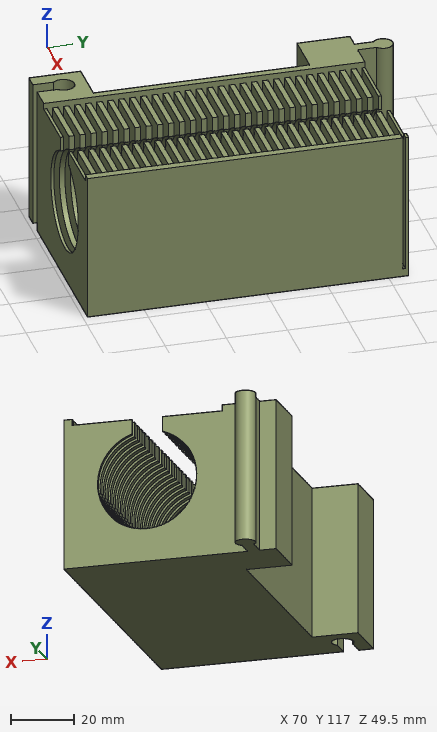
import cadquery as cq

length_x = 70.0
height = 49.5
body_length = 105.0
total_length = 117.0

block_projection = 15.1
front_block_length = 17.0
rear_block_length = 17.3

wall = 2.7
fin_zone_left = 17.8
fin_zone_right = length_x - wall
fin_zone_width = fin_zone_right - fin_zone_left
fin_top_drop = 2.0
end_fin_thickness = 1.0
groove_count = 29
groove_zone_length = body_length - 2 * end_fin_thickness
groove_width = groove_zone_length / (2 * groove_count - 1)
groove_pitch = 2 * groove_width

notch_width = 0.88

bore_diameter = 32.7
bore_x = fin_zone_left + fin_zone_width / 2
bore_z = 27.2
slot_width = 10.1

connector_x = 7.4
pin_diameter = 6.5
pin_neck_width = 4.0
pin_offset = total_length - body_length - pin_diameter / 2
socket_diameter = 7.1
socket_neck_width = 5.0
socket_depth = 12.9
socket_offset = socket_depth - socket_diameter / 2


def box(x_min, x_max, y_min, y_max, z_min, z_max):
    """Box given by its limits along each axis."""
    size = (x_max - x_min, y_max - y_min, z_max - z_min)
    return cq.Workplane("XY").box(*size, centered=False).translate((x_min, y_min, z_min))


def keyhole(diameter, neck_width, y_base, offset):
    """Full-height round head joined by a straight neck to the plane y = y_base."""
    y_head = y_base + offset
    head = cq.Workplane("XY").center(connector_x, y_head).circle(diameter / 2).extrude(height)
    half_neck = neck_width / 2
    neck = box(connector_x - half_neck, connector_x + half_neck, y_base, y_head, 0, height)
    return head.union(neck)


def body():
    """Main block with the two connector blocks, recessed along the fin tops."""
    main = box(block_projection, length_x, 0, body_length, 0, height)
    front = box(0, block_projection, 0, front_block_length, 0, height)
    rear = box(0, block_projection, body_length - rear_block_length, body_length, 0, height)
    recess = box(fin_zone_left, fin_zone_right, 0, body_length, height - fin_top_drop, height)
    return main.union(front).union(rear).cut(recess)


def bore_with_slot():
    """Lengthwise bore and the slot that opens it upwards."""
    bore = (
        cq.Workplane("XZ")
        .center(bore_x, bore_z)
        .circle(bore_diameter / 2)
        .extrude(-body_length)
    )
    half_slot = slot_width / 2
    slot = box(bore_x - half_slot, bore_x + half_slot, 0, body_length, bore_z, height)
    return bore.union(slot)


def grooves():
    """Row of deep cross grooves that leave the fins standing."""
    row = cq.Workplane("XY")
    for index in range(groove_count):
        y_start = end_fin_thickness + index * groove_pitch
        row.add(box(fin_zone_left, fin_zone_right, y_start, y_start + groove_width, wall, height))
    return row.combine()


def wall_notch():
    """Notch through the +X wall, in line with the rearmost groove."""
    y_end = body_length - end_fin_thickness
    return box(fin_zone_right, length_x, y_end - notch_width, y_end, wall, height)


pin = keyhole(pin_diameter, pin_neck_width, body_length, pin_offset)
socket = keyhole(socket_diameter, socket_neck_width, 0, socket_offset)

result = (
    body()
    .union(pin)
    .cut(socket)
    .cut(bore_with_slot())
    .cut(grooves())
    .cut(wall_notch())
)